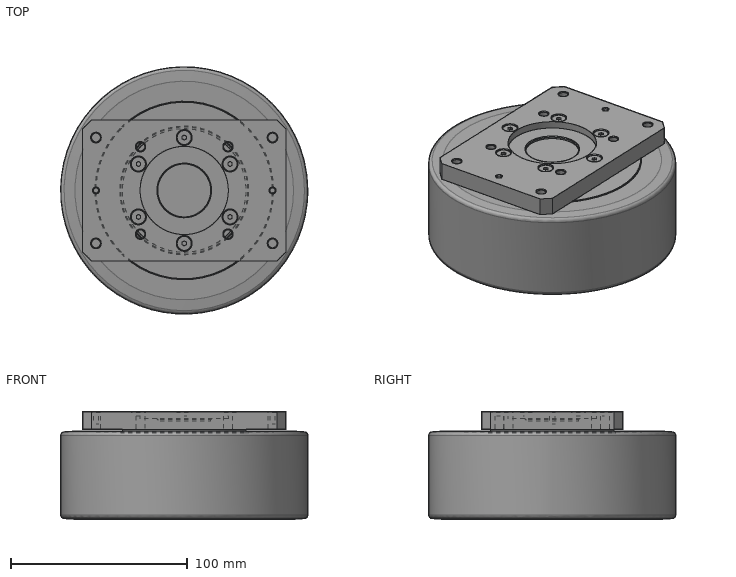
import cadquery as cq
import math


drum_radius = 70.0
drum_height = 50.0
flat_radius = 61.9
rim_fillet = 2.1
cone_drop = 0.5
groove_inner_diameter = 100.0
groove_width = 0.5
groove_depth = 0.4

hub_diameter = 70.0
hub_height = 1.0
hub_bore_diameter = 72.0
hub_bore_depth = 1.0

plate_length = 115.0
plate_width = 80.0
plate_thickness = 10.1
corner_chamfer = 5.0
plate_bottom = drum_height + hub_height
plate_top = plate_bottom + plate_thickness

recess_diameter = 50.0
recess_depth = 4.0
well_diameter = 30.0
well_depth = 1.4

hole_chamfer = 0.49
corner_spacing_x = 100.0
corner_spacing_y = 59.9
thread_diameter = 5.0
pin_diameter = 3.0
pin_depth = 7.0
mount_count = 4
mount_circle_diameter = hub_diameter
mount_first_angle = 45
mount_diameter = 4.9

screw_count = 6
screw_circle_radius = corner_spacing_y / 2
screw_first_angle = 90
screw_head_diameter = 8.0
screw_sink = 0.5
socket_sides = 6
socket_corner_diameter = 2.8
socket_depth = 2.0


def disc(diameter, bottom, height):
    return cq.Workplane("XY").workplane(offset=bottom).circle(diameter / 2).extrude(height)


def make_drum():
    """Drum with slightly conical end faces and rounded rims."""
    drum = (
        cq.Workplane("XZ")
        .moveTo(0, 0)
        .lineTo(flat_radius, 0)
        .lineTo(drum_radius, cone_drop)
        .lineTo(drum_radius, drum_height - cone_drop)
        .lineTo(flat_radius, drum_height)
        .lineTo(0, drum_height)
        .close()
        .revolve(360, (0, 0, 0), (0, 1, 0))
    )
    rims = cq.selectors.RadiusNthSelector(-1)
    return drum.edges(rims).fillet(rim_fillet)


def chamfered_hole(diameter, top, depth):
    """Cutter for a hole whose mouth is opened by a 45 degree chamfer."""
    radius = diameter / 2
    return (
        cq.Workplane("XZ")
        .moveTo(0, top)
        .lineTo(radius + hole_chamfer, top)
        .lineTo(radius, top - hole_chamfer)
        .lineTo(radius, top - depth)
        .lineTo(0, top - depth)
        .close()
        .revolve(360, (0, 0, 0), (0, 1, 0))
    )


def make_plate():
    return (
        cq.Workplane("XY").workplane(offset=plate_bottom)
        .rect(plate_length, plate_width)
        .extrude(plate_thickness)
        .edges("|Z")
        .chamfer(corner_chamfer)
    )


def circle_points(count, radius, first_angle):
    angles = [math.radians(first_angle + 360 * i / count) for i in range(count)]
    return [(radius * math.cos(a), radius * math.sin(a)) for a in angles]


def cut_at(body, cutter, points):
    for x, y in points:
        body = body.cut(cutter.translate((x, y, 0)))
    return body


groove_floor = drum_height - groove_depth
groove_core = disc(groove_inner_diameter, groove_floor, groove_depth)
groove = disc(groove_inner_diameter + 2 * groove_width, groove_floor, groove_depth).cut(groove_core)
drum = make_drum().cut(groove)
drum = drum.cut(chamfered_hole(hub_bore_diameter, drum_height, hub_bore_depth))
hub = disc(hub_diameter, drum_height - hub_bore_depth, hub_bore_depth + hub_height)

plate = make_plate()
half_x = corner_spacing_x / 2
half_y = corner_spacing_y / 2
corner_points = [(x, y) for x in (-half_x, half_x) for y in (-half_y, half_y)]
pin_points = [(-half_x, 0), (half_x, 0)]
mount_points = circle_points(mount_count, mount_circle_diameter / 2, mount_first_angle)
plate = cut_at(plate, chamfered_hole(thread_diameter, plate_top, plate_thickness), corner_points)
plate = cut_at(plate, chamfered_hole(pin_diameter, plate_top, pin_depth), pin_points)
plate = cut_at(plate, chamfered_hole(mount_diameter, plate_top, plate_thickness), mount_points)

recess_floor = plate_top - recess_depth
plate = plate.cut(disc(recess_diameter, recess_floor, recess_depth))
plate = plate.cut(chamfered_hole(well_diameter, recess_floor, well_depth))

screw_points = circle_points(screw_count, screw_circle_radius, screw_first_angle)
head_recess = chamfered_hole(screw_head_diameter, plate_top, screw_sink)
socket = (
    cq.Workplane("XY").workplane(offset=plate_top - screw_sink - socket_depth)
    .transformed(rotate=(0, 0, screw_first_angle))
    .polygon(socket_sides, socket_corner_diameter)
    .extrude(socket_depth + screw_sink)
)
plate = cut_at(plate, head_recess, screw_points)
plate = cut_at(plate, socket, screw_points)

result = drum.union(hub).union(plate)